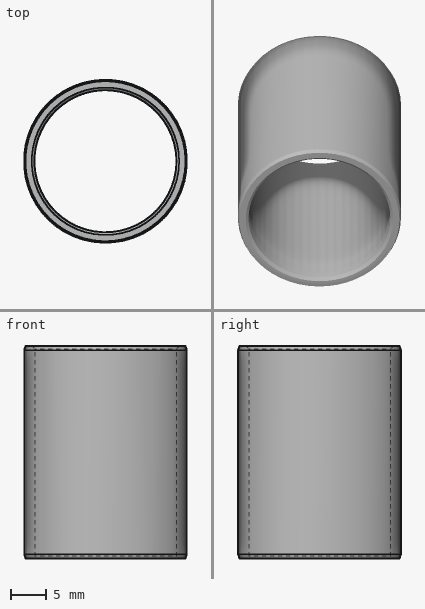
import cadquery as cq
import math

outer_diameter = 23.0
bore_diameter = 20.0
length = 30.0

outer_chamfer_height = 0.6
outer_chamfer_angle = 20.0
bore_chamfer = 0.4


def sleeve_profile():
    """Half section of the sleeve wall, with X as radius and Y along the axis."""
    outer_radius = outer_diameter / 2
    bore_radius = bore_diameter / 2
    end = length / 2
    outer_chamfer_width = outer_chamfer_height * math.tan(math.radians(outer_chamfer_angle))

    upper_half = [
        (outer_radius, end - outer_chamfer_height),
        (outer_radius - outer_chamfer_width, end),
        (bore_radius + bore_chamfer, end),
        (bore_radius, end - bore_chamfer),
    ]
    lower_half = [(radius, -height) for radius, height in reversed(upper_half)]
    return cq.Workplane("XZ").polyline(upper_half + lower_half).close()


full_turn = 360
result = sleeve_profile().revolve(full_turn, (0, 0, 0), (0, 1, 0))